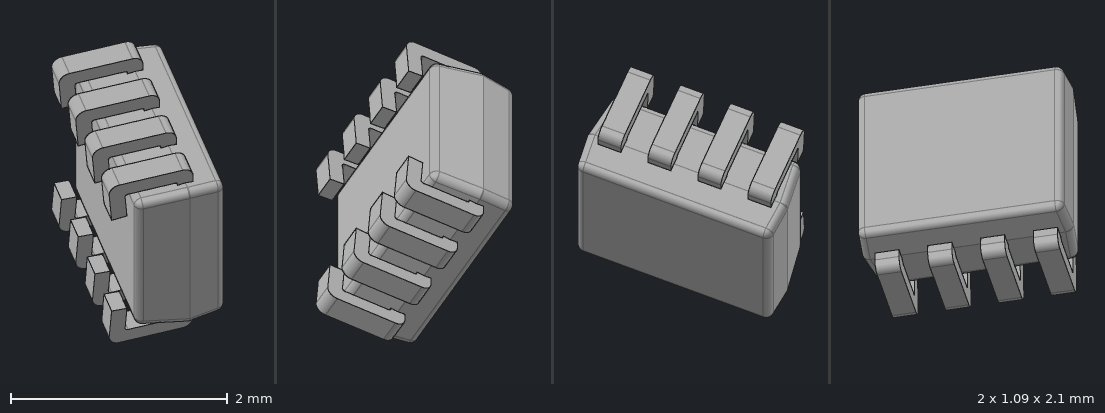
import cadquery as cq
import math


body_length = 2.0
body_width = 1.75
back_depth = 0.35
front_depth = 0.5
back_draft = 5.0
front_draft = 7.0
body_radius = 0.075

lead_span = 2.1
lead_front = 0.74
leads_per_row = 4
lead_pitch = 0.5
lead_width = 0.229
lead_thickness = 0.15
outer_bend_radius = 0.1
inner_bend_radius = 0.03
foot_tilt = 4.0
foot_reach = 0.445
lead_embedment = 0.085


def make_body():
    """Two drafted halves meeting at the parting plane, all edges but its rim rounded."""
    front = cq.Workplane("XZ").rect(body_length, body_width).extrude(front_depth, taper=front_draft)
    back = cq.Workplane("XZ").rect(body_length, body_width).extrude(-back_depth, taper=back_draft)
    body = front.union(back)
    return body.edges("<Y or >Y or (not #Y)").fillet(body_radius)


def make_lead():
    """Upper-row lead centred on X = 0: root, straight shank and tilted foot."""
    tilt = math.radians(foot_tilt)
    top = lead_span / 2
    shank_bottom = top - lead_thickness
    root_end = body_width / 2 - lead_embedment
    root_back = lead_thickness / 2
    root_front = -lead_thickness / 2

    half_corner = (math.pi / 2 - tilt) / 2
    corner_y = -lead_front + outer_bend_radius - outer_bend_radius / math.tan(half_corner)
    tip_z = top - foot_reach
    tip_y = corner_y + foot_reach * math.tan(tilt)
    inner_tip_y = tip_y + lead_thickness * math.cos(tilt)
    inner_tip_z = tip_z + lead_thickness * math.sin(tilt)
    inner_corner_y = inner_tip_y - (shank_bottom - inner_tip_z) * math.tan(tilt)

    outer_corners = [(root_back, top), (corner_y, top)]
    inner_corners = [(inner_corner_y, shank_bottom), (root_front, shank_bottom)]
    foot_tip = [(tip_y, tip_z), (inner_tip_y, inner_tip_z)]
    root = [(root_front, root_end), (root_back, root_end)]

    lead = (
        cq.Workplane("YZ")
        .polyline(outer_corners + foot_tip + inner_corners + root)
        .close()
        .extrude(lead_width / 2, both=True)
    )
    bends = [(outer_corners, outer_bend_radius), (inner_corners, inner_bend_radius)]
    for corners, radius in bends:
        for y, z in corners:
            lead = lead.edges(cq.selectors.NearestToPointSelector((0, y, z))).fillet(radius)
    return lead


result = make_body()
upper_lead = make_lead()
lower_lead = upper_lead.mirror("XY")
for index in range(leads_per_row):
    lead_x = (index - (leads_per_row - 1) / 2) * lead_pitch
    for lead in (upper_lead, lower_lead):
        result = result.union(lead.translate((lead_x, 0, 0)))